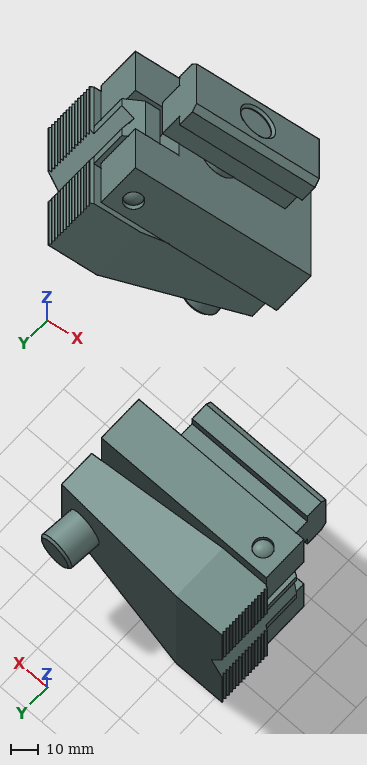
import cadquery as cq
import math


LENGTH = 86.0
WIDTH = 68.0

NUT_START = 13.1
NUT_LENGTH = 55.9
NUT_HEIGHT = 19.95
FLANGE_WIDTH = 28.0
FLANGE_HEIGHT = 10.0
FLANGE_CHAMFER = 2.5
NECK_WIDTH = 18.1

SCREW_DIAMETER = 16.0
CORE_DIAMETER = 13.9
HEAD_DIAMETER = 24.0
HEAD_HEIGHT = 16.0
SCREW_END_DEPTH = 1.4
SCREW_X = NUT_START + NUT_LENGTH / 2
THREAD_CHAMFER = (SCREW_DIAMETER - CORE_DIAMETER) / 2

BLOCK_START = 3.0
BLOCK_LENGTH = 80.1
BLOCK_HEIGHT = 20.0
NUT_GAP = 2.9
BLOCK_BOTTOM = NUT_HEIGHT + NUT_GAP
BLOCK_TOP = BLOCK_BOTTOM + BLOCK_HEIGHT
SLOT_LENGTH = 19.95
SLOT_WIDTH = 22.3

JAW_GAP = 2.0
JAW_HEIGHT = 25.0
JAW_BOTTOM = BLOCK_TOP + JAW_GAP
HEAD_SEAT = JAW_BOTTOM - HEAD_HEIGHT
JAW_TOP = JAW_BOTTOM + JAW_HEIGHT
TAPER_START = 22.2
TOP_TAPER_ANGLE = 8.0
SIDE_TAPER_ANGLE = 15.0
NOTCH_HALF_WIDTH = 8.95
NOTCH_HALF_ANGLE = 60.0

GROOVE_COUNT = 14
GROOVE_DEPTH = 0.6
GROOVE_ROOT_WIDTH = 0.3
GROOVE_FLANK_ANGLE = 45.0
TOP_GROOVE_OFFSET = 1.3
BOTTOM_GROOVE_OFFSET = 1.8
GROOVE_PITCH = (JAW_HEIGHT - TOP_GROOVE_OFFSET - BOTTOM_GROOVE_OFFSET) / (GROOVE_COUNT - 1)
LOWER_CORNER_ANGLE = 60.0

TONGUE_START = 1.3
TONGUE_END = 20.9
TONGUE_WIDTH = 21.6
TONGUE_CLEARANCE = 1.5
TONGUE_BOTTOM = BLOCK_BOTTOM + TONGUE_CLEARANCE
TONGUE_FLAT_START = 8.7
TONGUE_FLAT_END = 15.5
TONGUE_FRONT_SLOPE = 30.0
TONGUE_REAR_SLOPE = 60.0

PIN_X = 11.7
PIN_Y = 35.1
PIN_DIAMETER = 8.0
PIN_STRAIGHT_LENGTH = 63.3
PIN_DOME_HEIGHT = 2.0

SET_SCREW_TILT = 5.0
SET_SCREW_LENGTH = 34.0
SET_SCREW_TIP_X = 71.4
SET_SCREW_TIP_HEIGHT = 0.7
SET_SCREW_TIP_Y = BLOCK_TOP + SET_SCREW_TIP_HEIGHT


def tan_deg(angle):
    return math.tan(math.radians(angle))


def prism_z(points, width):
    """Solid with an XY outline, centred on Z = 0."""
    return cq.Workplane("XY").polyline(points).close().extrude(width / 2, both=True)


def prism_y(points, bottom, top):
    """Solid with an outline of (x, z) points between two heights."""
    plane = cq.Plane(origin=(0, bottom, 0), xDir=(1, 0, 0), normal=(0, 1, 0))
    mirrored = [(x, -z) for x, z in points]
    return cq.Workplane(plane).polyline(mirrored).close().extrude(top - bottom)


def cylinder_y(diameter, bottom, top):
    """Cylinder standing along Y on the axis of the clamping screw."""
    plane = cq.Plane(origin=(SCREW_X, bottom, 0), xDir=(1, 0, 0), normal=(0, 1, 0))
    return cq.Workplane(plane).circle(diameter / 2).extrude(top - bottom)


def make_pin():
    """Pivot pin along Z with a domed end on each side."""
    radius = PIN_DIAMETER / 2
    straight = PIN_STRAIGHT_LENGTH / 2
    tip = straight + PIN_DOME_HEIGHT
    sphere_radius = (radius**2 + PIN_DOME_HEIGHT**2) / (2 * PIN_DOME_HEIGHT)
    mid_x = radius / 2
    mid_z = tip - sphere_radius + math.sqrt(sphere_radius**2 - mid_x**2)
    profile = (
        cq.Workplane("XZ")
        .moveTo(0, -tip)
        .threePointArc((mid_x, -mid_z), (radius, -straight))
        .lineTo(radius, straight)
        .threePointArc((mid_x, mid_z), (0, tip))
        .close()
    )
    return profile.revolve(360, (0, 0), (0, 1)).translate((PIN_X, PIN_Y, 0))


def pin_hole():
    """Straight hole for the pin through the full width."""
    return cq.Workplane("XY").center(PIN_X, PIN_Y).circle(PIN_DIAMETER / 2).extrude(WIDTH / 2, both=True)


def make_set_screw():
    """Chamfered screw, tilted in the XY plane; its tip points at the block."""
    tilt = math.radians(SET_SCREW_TILT)
    plane = cq.Plane(
        origin=(SET_SCREW_TIP_X, SET_SCREW_TIP_Y, 0),
        xDir=(math.cos(tilt), -math.sin(tilt), 0),
        normal=(math.sin(tilt), math.cos(tilt), 0),
    )
    blank = cq.Workplane(plane).circle(SCREW_DIAMETER / 2).extrude(SET_SCREW_LENGTH)
    return blank.edges("%CIRCLE").chamfer(THREAD_CHAMFER)


def make_t_bolt():
    """T-nut with the clamping screw fixed in it."""
    flange = FLANGE_WIDTH / 2
    neck = NECK_WIDTH / 2
    half_section = [
        (0, flange - FLANGE_CHAMFER),
        (FLANGE_CHAMFER, flange),
        (FLANGE_HEIGHT, flange),
        (FLANGE_HEIGHT, neck),
        (NUT_HEIGHT, neck),
    ]
    section = half_section + [(y, -z) for y, z in reversed(half_section)]
    nut = cq.Workplane("YZ", origin=(NUT_START, 0, 0)).polyline(section).close().extrude(NUT_LENGTH)
    countersink = (
        cq.Workplane("XY", origin=(SCREW_X, 0, 0))
        .polyline([(0, 0), (SCREW_DIAMETER / 2, 0), (CORE_DIAMETER / 2, THREAD_CHAMFER), (0, THREAD_CHAMFER)])
        .close()
        .revolve(360, (0, 0), (0, 1))
    )
    bore = cylinder_y(CORE_DIAMETER, 0, SCREW_END_DEPTH)
    shank = cylinder_y(SCREW_DIAMETER, NUT_HEIGHT, HEAD_SEAT)
    head = cylinder_y(HEAD_DIAMETER, HEAD_SEAT, JAW_BOTTOM)
    return nut.cut(countersink).cut(bore).union(shank).union(head)


def make_block():
    """Base block with a slot for the tongue and a counterbored screw hole."""
    block = cq.Workplane("XY").box(BLOCK_LENGTH, BLOCK_HEIGHT, WIDTH, centered=(False, False, True))
    slot = cq.Workplane("XY").box(SLOT_LENGTH, BLOCK_HEIGHT, SLOT_WIDTH, centered=(False, False, True))
    block = block.cut(slot).translate((BLOCK_START, BLOCK_BOTTOM, 0))
    screw_hole = cylinder_y(SCREW_DIAMETER, BLOCK_BOTTOM, HEAD_SEAT)
    counterbore = cylinder_y(HEAD_DIAMETER, HEAD_SEAT, BLOCK_TOP)
    return block.cut(screw_hole).cut(counterbore).cut(pin_hole())


def jaw_profile():
    """XY outline of the jaw: serrated face, sloping top, chamfered lower corner."""
    end_top = JAW_TOP - (LENGTH - TAPER_START) * tan_deg(TOP_TAPER_ANGLE)
    half_root = GROOVE_ROOT_WIDTH / 2
    half_groove = half_root + GROOVE_DEPTH / tan_deg(GROOVE_FLANK_ANGLE)
    corner = TONGUE_START / tan_deg(LOWER_CORNER_ANGLE)
    points = [
        (TONGUE_START, JAW_BOTTOM),
        (LENGTH, JAW_BOTTOM),
        (LENGTH, end_top),
        (TAPER_START, JAW_TOP),
        (0, JAW_TOP),
    ]
    for i in range(GROOVE_COUNT):
        middle = JAW_TOP - TOP_GROOVE_OFFSET - i * GROOVE_PITCH
        points += [
            (0, middle + half_groove),
            (GROOVE_DEPTH, middle + half_root),
            (GROOVE_DEPTH, middle - half_root),
            (0, middle - half_groove),
        ]
    points.append((0, JAW_BOTTOM + corner))
    return points


def make_tongue():
    """Tongue that hangs from the jaw into the slot of the block."""
    front_rise = (TONGUE_FLAT_START - TONGUE_START) * tan_deg(TONGUE_FRONT_SLOPE)
    rear_rise = (TONGUE_END - TONGUE_FLAT_END) * tan_deg(TONGUE_REAR_SLOPE)
    outline = [
        (TONGUE_START, JAW_BOTTOM),
        (TONGUE_START, TONGUE_BOTTOM + front_rise),
        (TONGUE_FLAT_START, TONGUE_BOTTOM),
        (TONGUE_FLAT_END, TONGUE_BOTTOM),
        (TONGUE_END, TONGUE_BOTTOM + rear_rise),
        (TONGUE_END, JAW_BOTTOM),
    ]
    return prism_z(outline, TONGUE_WIDTH)


def make_jaw(set_screw):
    """Tapered jaw with tongue, V-notch, pivot hole and set-screw hole."""
    half = WIDTH / 2
    end_half = half - (LENGTH - TAPER_START) * tan_deg(SIDE_TAPER_ANGLE)
    plan = [
        (0, -half),
        (TAPER_START, -half),
        (LENGTH, -end_half),
        (LENGTH, end_half),
        (TAPER_START, half),
        (0, half),
    ]
    body = prism_z(jaw_profile(), WIDTH).intersect(prism_y(plan, JAW_BOTTOM, JAW_TOP))
    notch_depth = NOTCH_HALF_WIDTH / tan_deg(NOTCH_HALF_ANGLE)
    notch = prism_y(
        [(0, -NOTCH_HALF_WIDTH), (notch_depth, 0), (0, NOTCH_HALF_WIDTH)], TONGUE_BOTTOM, JAW_TOP
    )
    jaw = body.union(make_tongue())
    return jaw.cut(notch).cut(pin_hole()).cut(set_screw)


pin = make_pin()
set_screw = make_set_screw()
t_bolt = make_t_bolt()
block = make_block()
jaw = make_jaw(set_screw)

bodies = [jaw, block, t_bolt, pin, set_screw]
result = cq.Compound.makeCompound([body.solids().val() for body in bodies])